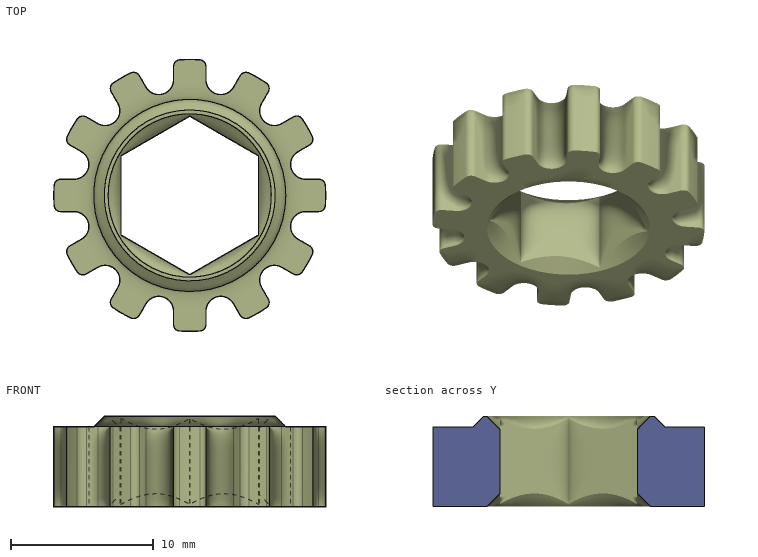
import cadquery as cq
import math

tooth_count = 12
outer_radius = 9.52
tooth_width = 2.29
tooth_tip_fillet = 0.48
root_radius = 7.35
body_height = 5.6

total_height = 6.35
collar_height = total_height - body_height
collar_base_radius = 6.72
collar_top_radius = collar_base_radius - collar_height

hex_across_flats = 9.6
lead_in_radius = 5.72

tooth_pitch = 360 / tooth_count


def make_gap_cutter():
    """Gap between two parallel-sided teeth, centred on +X, with a round root."""
    half_pitch = math.radians(tooth_pitch / 2)
    half_width = tooth_width / 2
    center = (root_radius - half_width) / (1 - math.sin(half_pitch))
    arc_radius = center - root_radius
    tangent_x = center - arc_radius * math.sin(half_pitch)
    tangent_y = arc_radius * math.cos(half_pitch)
    end_x = outer_radius + tooth_width
    end_y = tangent_y + (end_x - tangent_x) * math.tan(half_pitch)
    return (
        cq.Workplane("XY")
        .moveTo(end_x, -end_y)
        .lineTo(tangent_x, -tangent_y)
        .threePointArc((root_radius, 0), (tangent_x, tangent_y))
        .lineTo(end_x, end_y)
        .close()
        .extrude(body_height)
    )


def make_toothed_body():
    body = cq.Workplane("XY").circle(outer_radius).extrude(body_height)
    gap = make_gap_cutter()
    for i in range(tooth_count):
        angle = (i + 0.5) * tooth_pitch
        body = body.cut(gap.rotate((0, 0, 0), (0, 0, 1), angle))
    tip_radius = outer_radius - tooth_tip_fillet
    tip_corners = body.edges("|Z").filter(
        lambda edge: math.hypot(edge.Center().x, edge.Center().y) > tip_radius
    )
    return tip_corners.fillet(tooth_tip_fillet)


def make_cone(base_radius, top_radius, height, base_z, direction=1):
    return cq.Workplane(
        cq.Solid.makeCone(
            base_radius, top_radius, height, cq.Vector(0, 0, base_z), cq.Vector(0, 0, direction)
        )
    )


def make_bore():
    hex_across_corners = hex_across_flats / math.cos(math.pi / 6)
    hexagon = (
        cq.Workplane("XY")
        .polygon(6, hex_across_corners)
        .extrude(total_height)
        .rotate((0, 0, 0), (0, 0, 1), 90)
    )
    top_lead_in = make_cone(lead_in_radius, 0, lead_in_radius, total_height, -1)
    bottom_lead_in = make_cone(lead_in_radius, 0, lead_in_radius, 0)
    return hexagon.union(top_lead_in).union(bottom_lead_in)


collar = make_cone(collar_base_radius, collar_top_radius, collar_height, body_height)
result = make_toothed_body().union(collar).cut(make_bore())